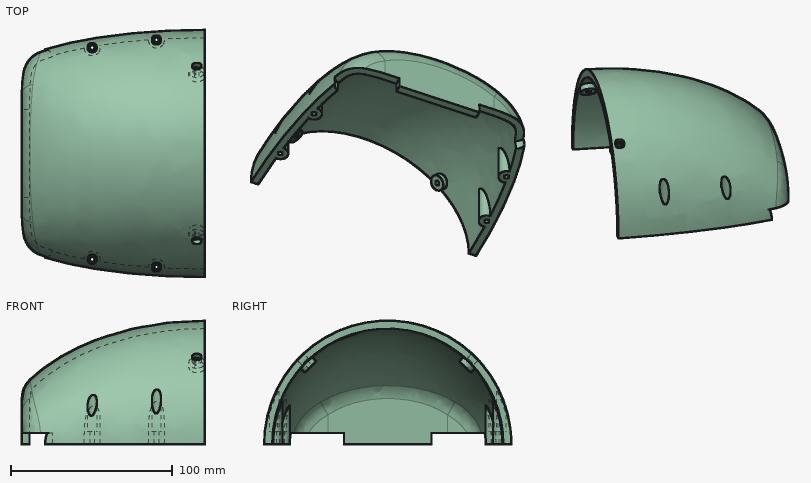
import math

import cadquery as cq

LENGTH = 113.75
END_RADIUS = 76.86
WALL = 5.0

PROFILE_RUN = 132.0
CROWN_DROP = 85.0
SIDE_DROP = 35.7

NOSE_FLAT_HALF_WIDTH = 37.2
NOSE_SIDE_RADIUS = 80.0
NOSE_SIDE_SWEEP = 60.0
NOSE_ROUNDING = 16.0

FOOT_ITERATIONS = 40
SECTION_COUNT = 6
LOFT_OVERRUN = 10.0
OVERRUN = 2.0

TAB_HALF_WIDTH = 27.2
NOTCH_HALF_WIDTH = 64.7
NOTCH_HEIGHT = 6.9
NOTCH_END_X = 19.3
NOTCH_CORNER_RADIUS = 5.5

SCREW_DIAMETER = 3.0
HEAD_DIAMETER = 5.8
BOSS_DIAMETER = 10.0

VERTICAL_SEATS = [(43.8, 65.7), (83.7, 70.5)]
HEAD_FLOOR_Z = 8.0

RADIAL_SEAT_X = LENGTH - 5.0
RADIAL_SEAT_ANGLE = 45.0
RADIAL_HEAD_DEPTH = 4.0
RADIAL_BOSS_DEPTH = 9.0


def profile(x, drop):
    """Semi-axis and slope angle of a dome profile at station x."""
    u = (LENGTH - x) / PROFILE_RUN
    rise = math.sqrt(1 - u * u)
    return END_RADIUS - drop * (1 - rise), math.atan(drop * u / (PROFILE_RUN * rise))


def inset_semi_axis(x, drop, inset):
    """Semi-axis at station x of a profile moved inward, along its normal, by inset."""
    foot_x = x
    for _ in range(FOOT_ITERATIONS):
        foot_x = x - inset * math.sin(profile(foot_x, drop)[1])
    foot_r, foot_angle = profile(foot_x, drop)
    return foot_r - inset * math.cos(foot_angle)


def dome(inset):
    """Loft of elliptical sections, inset from the outer skin, overrunning both ends."""
    start_x = inset - OVERRUN
    step = (LENGTH + LOFT_OVERRUN - start_x) / (SECTION_COUNT - 1)
    wires = []
    for i in range(SECTION_COUNT):
        x = start_x + i * step
        half_width = inset_semi_axis(x, SIDE_DROP, inset)
        height = inset_semi_axis(x, CROWN_DROP, inset)
        section = cq.Workplane("YZ", origin=(x, 0, 0)).ellipse(half_width, height)
        wires.append(section.val())
    return cq.Workplane(cq.Solid.makeLoft(wires))


def nose_block(inset, end_x):
    """Prism whose plan outline has the nose curve in front, moved inward by inset."""
    radius = NOSE_SIDE_RADIUS - inset
    sweep = math.radians(NOSE_SIDE_SWEEP)

    def on_side_arc(angle, side):
        y = NOSE_FLAT_HALF_WIDTH + radius * math.sin(angle)
        return (NOSE_SIDE_RADIUS - radius * math.cos(angle), side * y)

    return (cq.Workplane()
            .moveTo(inset, -NOSE_FLAT_HALF_WIDTH)
            .lineTo(inset, NOSE_FLAT_HALF_WIDTH)
            .threePointArc(on_side_arc(sweep / 2, 1), on_side_arc(sweep, 1))
            .lineTo(end_x, on_side_arc(sweep, 1)[1])
            .lineTo(end_x, on_side_arc(sweep, -1)[1])
            .lineTo(*on_side_arc(sweep, -1))
            .threePointArc(on_side_arc(sweep / 2, -1), (inset, -NOSE_FLAT_HALF_WIDTH))
            .close().extrude(2 * END_RADIUS))


def rounded_dome(inset, end_x):
    """Dome trimmed to the nose curve, to end_x and to z = 0, with the nose rim rounded."""
    body = dome(inset).intersect(nose_block(inset, end_x))
    rim = cq.selectors.BoxSelector((-OVERRUN, -END_RADIUS, OVERRUN), (LENGTH / 2, END_RADIUS, END_RADIUS))
    return body.edges(rim).edges("not |Z").fillet(NOSE_ROUNDING - inset)


def screw_positions():
    return [(x, side * y) for x, y in VERTICAL_SEATS for side in (-1, 1)]


def posts(diameter, floor_z):
    """Vertical cylinders at all screw positions, from floor_z to above the skin."""
    return (cq.Workplane(origin=(0, 0, floor_z)).pushPoints(screw_positions())
            .circle(diameter / 2).extrude(END_RADIUS))


def notch(side):
    """Cutter for one notch, with its outer rear corner rounded."""
    width = NOTCH_HALF_WIDTH - TAB_HALF_WIDTH
    middle_y = side * (NOTCH_HALF_WIDTH + TAB_HALF_WIDTH) / 2
    length = NOTCH_END_X + OVERRUN
    block = cq.Workplane().box(length, width, NOTCH_HEIGHT, centered=(False, True, False))
    outer_corner = ">X and >Y" if side > 0 else ">X and <Y"
    block = block.edges("|Z").edges(outer_corner).fillet(NOTCH_CORNER_RADIUS)
    return block.translate((-OVERRUN, middle_y, 0))


def radial_post(side, diameter, depth):
    """Cylinder square to the skin at a radial seat, from depth below the end radius to outside."""
    post = (cq.Workplane(origin=(RADIAL_SEAT_X, 0, END_RADIUS - depth))
            .circle(diameter / 2).extrude(depth + OVERRUN))
    return post.rotate((0, 0, 0), (1, 0, 0), side * RADIAL_SEAT_ANGLE)


outer = rounded_dome(0.0, LENGTH)
result = outer.cut(rounded_dome(WALL, LENGTH + OVERRUN))
result = result.union(outer.intersect(posts(BOSS_DIAMETER, 0.0)))
for side in (-1, 1):
    result = result.union(outer.intersect(radial_post(side, BOSS_DIAMETER, RADIAL_BOSS_DEPTH)))

result = result.cut(posts(HEAD_DIAMETER, HEAD_FLOOR_Z))
result = result.cut(posts(SCREW_DIAMETER, 0.0))
for side in (-1, 1):
    result = result.cut(radial_post(side, HEAD_DIAMETER, RADIAL_HEAD_DEPTH))
    result = result.cut(radial_post(side, SCREW_DIAMETER, RADIAL_BOSS_DEPTH + OVERRUN))
    result = result.cut(notch(side))